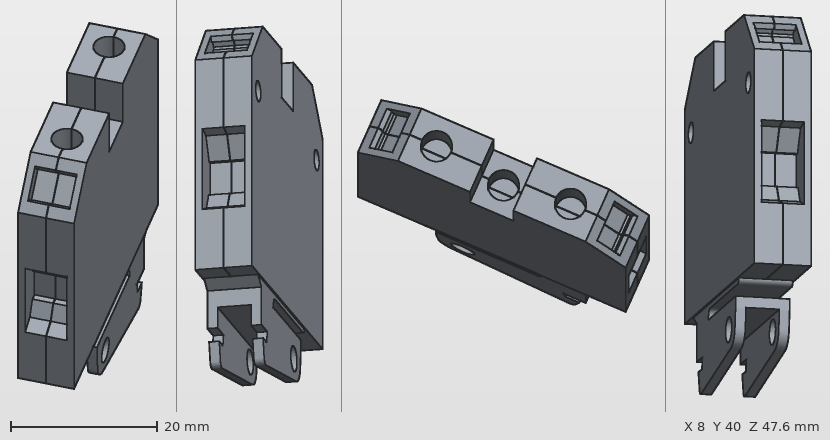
import cadquery as cq
import math

height = 47.6
width = 8.0
length = 40.0
housing_bottom = 11.6
corner_chamfer = 6.0
chamfer_angle = 45
notch_length = 6.45
notch_depth = 6.95
seam_gap = 0.07

screw_hole_radius = 2.15
screw_hole_spacing = 10.0
screw_hole_depth = 5.7
side_recess_radius = 1.45
side_recess_offset = 16.45
side_recess_z = 37.6
side_recess_depth = 3.8

pocket_width = 5.95
wire_mouth_bottom = 20.2
wire_mouth_top = 31.7
wire_lower_lip_depth = 2.25
wire_lower_lip_z = 21.05
wire_upper_lip_depth = 1.95
wire_upper_lip_z = 31.25
wire_throat_bottom = 23.3
wire_throat_top = 28.1
wire_lower_throat_depth = 3.47
wire_upper_throat_depth = 3.75
wire_pocket_depth = 4.45

test_mouth_half = 2.45
test_lip_half = 2.15
test_lip_depth = 0.75
test_cavity_half = 2.75
test_cavity_depth = 1.85
test_floor_half = 2.48
test_pocket_depth = 2.15

foot_width = 7.6
foot_back_y = 13.95
foot_gusset_y = 15.85
foot_gusset_bottom = 10.4
arm_gap = 4.7
arm_gap_top = 7.95

hook_notch_top = 5.0
hook_notch_bottom = 3.4
hook_notch_inner_top_y = 10.55
hook_notch_inner_bottom_y = 10.95
hook_tip_y = 13.0
hook_tilt = math.radians(14.5)
heel_radius = 0.95
heel_centre_y = 11.42

lever_tilt = math.radians(9)
lever_top = 9.45
lever_end_y = -8.43
lever_end_bottom = 7.85
nose_start_y = -5.7
nose_start_z = 2.75
nose_end_y = -8.1
nose_end_z = 5.35
release_hole_radius = 1.75
release_hole_y = -4.45
release_hole_z = 5.6

slot_end_y = 7.15
slot_top = 10.9
slot_corner_radius = 1.0
strip_round_start_y = -9.5
strip_end_y = -10.4

half_length = length / 2
half_notch = notch_length / 2


def extrude_across(outline, thickness):
    """Extrude a YZ outline along X, centred on the middle plane."""
    return outline.extrude(thickness / 2, both=True)


def make_housing():
    """Block with chamfered top corners and a notch in the middle of the top."""
    half_top = half_length - corner_chamfer
    shoulder = height - corner_chamfer
    notch_floor = height - notch_depth
    outline = (
        cq.Workplane("YZ")
        .moveTo(-half_length, housing_bottom)
        .lineTo(half_length, housing_bottom)
        .lineTo(half_length, shoulder)
        .lineTo(half_top, height)
        .lineTo(half_notch, height)
        .lineTo(half_notch, notch_floor)
        .lineTo(-half_notch, notch_floor)
        .lineTo(-half_notch, height)
        .lineTo(-half_top, height)
        .lineTo(-half_length, shoulder)
        .close()
    )
    return extrude_across(outline, width)


def make_wire_pocket():
    """Funnel-shaped wire entry in the -Y end face."""
    outline = (
        cq.Workplane("YZ")
        .moveTo(-half_length, wire_mouth_bottom)
        .lineTo(-half_length + wire_lower_lip_depth, wire_lower_lip_z)
        .lineTo(-half_length + wire_lower_throat_depth, wire_throat_bottom)
        .lineTo(-half_length + wire_pocket_depth, wire_throat_bottom)
        .lineTo(-half_length + wire_pocket_depth, wire_throat_top)
        .lineTo(-half_length + wire_upper_throat_depth, wire_throat_top)
        .lineTo(-half_length + wire_upper_lip_depth, wire_upper_lip_z)
        .lineTo(-half_length, wire_mouth_top)
        .close()
    )
    return extrude_across(outline, pocket_width)


def make_test_pocket():
    """Pocket sunk square to the -Y chamfer, undercut behind its lip at both ends."""
    half_profile = [
        (test_mouth_half, 0),
        (test_lip_half, -test_lip_depth),
        (test_cavity_half, -test_lip_depth),
        (test_cavity_half, -test_cavity_depth),
        (test_floor_half, -test_pocket_depth),
    ]
    other_half = [(-along, depth) for along, depth in reversed(half_profile)]
    outline = cq.Workplane("YZ").polyline(half_profile + other_half).close()
    pocket = extrude_across(outline, pocket_width)
    chamfer_middle = (0, -half_length + corner_chamfer / 2, height - corner_chamfer / 2)
    return pocket.rotate((0, 0, 0), (1, 0, 0), chamfer_angle).translate(chamfer_middle)


def make_screw_hole(y, top_z):
    """Blind vertical hole starting at top_z."""
    opening = cq.Workplane("XY", origin=(0, y, top_z)).circle(screw_hole_radius)
    return opening.extrude(-screw_hole_depth)


def make_side_recess(y):
    """Blind round recess in the -X side."""
    opening = cq.Workplane("YZ", origin=(-width / 2, y, side_recess_z)).circle(side_recess_radius)
    return opening.extrude(side_recess_depth)


def make_seam():
    """Thin gap between the two half shells of the housing."""
    seam = cq.Workplane("XY").box(seam_gap, length, height - housing_bottom, centered=(True, True, False))
    return seam.translate((0, 0, housing_bottom))


def make_foot():
    """Rail foot: hook on the +Y side, slotted lever towards -Y, split below into two arms."""
    heel_start = (
        heel_centre_y + heel_radius * math.cos(hook_tilt),
        heel_radius * (1 - math.sin(hook_tilt)),
    )
    heel_end = (
        heel_centre_y - heel_radius * math.sin(lever_tilt),
        heel_radius * (1 - math.cos(lever_tilt)),
    )
    outline = (
        cq.Workplane("YZ")
        .moveTo(foot_gusset_y, housing_bottom)
        .lineTo(foot_back_y, foot_gusset_bottom)
        .lineTo(foot_back_y, hook_notch_top)
        .lineTo(hook_notch_inner_top_y, hook_notch_top)
        .lineTo(hook_notch_inner_bottom_y, hook_notch_bottom)
        .lineTo(hook_tip_y, hook_notch_bottom)
        .lineTo(*heel_start)
        .threePointArc((heel_centre_y, 0), heel_end)
        .lineTo(nose_start_y, nose_start_z)
        .tangentArcPoint((nose_end_y, nose_end_z), relative=False)
        .lineTo(lever_end_y, lever_end_bottom)
        .lineTo(lever_end_y, lever_top)
        .lineTo(slot_end_y, lever_top)
        .lineTo(slot_end_y, slot_top - slot_corner_radius)
        .tangentArcPoint((slot_end_y - slot_corner_radius, slot_top), relative=False)
        .lineTo(strip_round_start_y, slot_top)
        .tangentArcPoint((strip_end_y, housing_bottom), relative=False)
        .close()
    )
    gap_between_arms = cq.Workplane("XY").box(arm_gap, length, arm_gap_top, centered=(True, True, False))
    release_hole = extrude_across(
        cq.Workplane("YZ").center(release_hole_y, release_hole_z).circle(release_hole_radius),
        foot_width,
    )
    return extrude_across(outline, foot_width).cut(gap_between_arms).cut(release_hole)


housing = make_housing()

for pocket in (make_wire_pocket(), make_test_pocket()):
    housing = housing.cut(pocket).cut(pocket.mirror("XZ"))

for side in (-1, 1):
    housing = housing.cut(make_screw_hole(side * screw_hole_spacing, height))
    housing = housing.cut(make_side_recess(side * side_recess_offset))
housing = housing.cut(make_screw_hole(0, height - notch_depth))
housing = housing.cut(make_seam())

result = housing.union(make_foot())